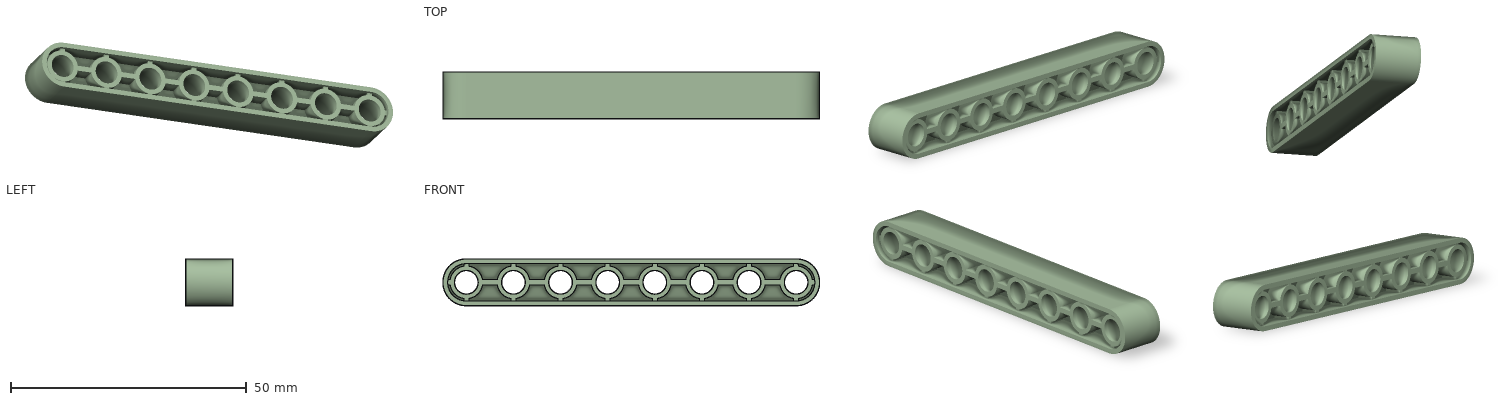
import cadquery as cq

hole_count = 8
pitch = 10.0
hole_diameter = 5.0
tube_diameter = 7.0
wall = 1.0
long_rib = 1.1
cross_rib = 1.0
recess = 0.8
web = 1.2

length = hole_count * pitch
hole_span = (hole_count - 1) * pitch
pocket_length = length - 2 * wall
pocket_height = pitch - 2 * wall
pocket_depth = (pitch - web) / 2
tube_height = pocket_depth - recess
hole_places = [(i * pitch - hole_span / 2, 0) for i in range(hole_count)]


def face_plane(y):
    """Workplane parallel to the side faces; extruding goes toward -Y."""
    return cq.Workplane("XZ", origin=(0, y, 0))


def standing(sketch):
    """Solid that stands on the web and ends below the rim."""
    return sketch.extrude(tube_height)


def pocket_cut():
    """Hollow of the -Y side: the inner outline less the tubes and ribs left standing."""
    floor = face_plane(-web / 2)
    hollow = floor.slot2D(pocket_length, pocket_height).extrude(pocket_depth)
    tubes = standing(floor.pushPoints(hole_places).circle(tube_diameter / 2))
    axis_rib = standing(floor.rect(length, long_rib))
    cross_ribs = standing(floor.pushPoints(hole_places).rect(cross_rib, pitch))
    return hollow.cut(tubes).cut(axis_rib).cut(cross_ribs)


beam = face_plane(pitch / 2).slot2D(length, pitch).extrude(pitch)

pocket = pocket_cut()
beam = beam.cut(pocket).cut(pocket.mirror("XZ"))

holes = face_plane(pitch / 2).pushPoints(hole_places).circle(hole_diameter / 2).extrude(pitch)
result = beam.cut(holes)